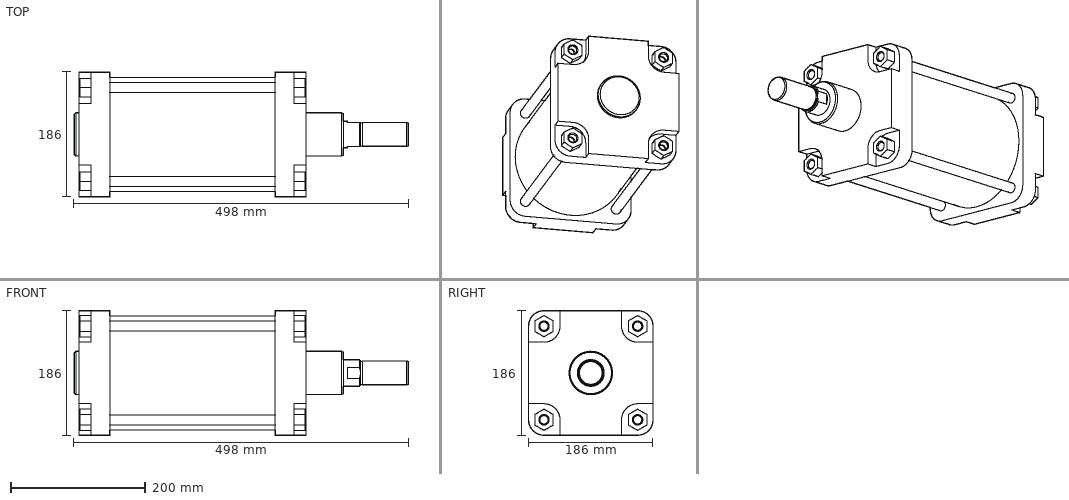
import cadquery as cq
import math


total_length = 498.0
cover_side = 186.0

cover_thickness = 46.5
rear_face_x = 7.0
barrel_length = 246.0
tie_rod_offset = 69.5
cover_corner_radius = cover_side / 2 - tie_rod_offset
pocket_depth = 18.0
pocket_inner_radius = 24.0
pocket_side = cover_corner_radius + pocket_inner_radius

boss_diameter = 64.5
rear_boss_chamfer = 2.5
front_boss_length = 55.5
front_boss_chamfer_length = 3.0
front_boss_chamfer_depth = 1.5

barrel_diameter = 170.5

tie_rod_diameter = 15.0
nut_across_flats = 27.5
nut_height = 16.5
socket_diameter = 12.5
socket_chamfer = 1.5

rod_diameter = 40.0
rod_across_flats = 36.5
rod_collar_length = 6.0
rod_shoulder_length = 25.5
rod_shoulder_chamfer = 1.5
neck_diameter = 35.0
neck_length = 3.0
shaft_diameter = 36.0
shaft_chamfer_length = 3.0
shaft_chamfer_depth = 1.0

rear_cover_inner_x = rear_face_x + cover_thickness
front_cover_inner_x = rear_cover_inner_x + barrel_length
front_face_x = front_cover_inner_x + cover_thickness
boss_end_x = front_face_x + front_boss_length
shoulder_end_x = boss_end_x + rod_shoulder_length

tie_rod_places = [(y, z) for y in (-tie_rod_offset, tie_rod_offset) for z in (-tie_rod_offset, tie_rod_offset)]


def section(x):
    """Plane across the cylinder at x, with local axes along +Y and +Z."""
    return cq.Workplane("YZ", origin=(x, 0, 0))


def turned(profile):
    """Solid turned about the X axis from (x, radius) points."""
    return cq.Workplane("XY").polyline(profile).close().revolve(360, (0, 0, 0), (1, 0, 0))


def make_cover_plate(inner_x, outer_x):
    """Square plate with a nut pocket at each outer corner and holes for the tie rods."""
    outward = math.copysign(1, outer_x - inner_x)
    plate = section(inner_x).rect(cover_side, cover_side).extrude(outward * cover_thickness)
    plate = plate.edges("|X").fillet(cover_corner_radius)

    pocket_centre = cover_side / 2 - pocket_side / 2
    for side_y in (-1, 1):
        for side_z in (-1, 1):
            pocket = (
                section(outer_x)
                .center(side_y * pocket_centre, side_z * pocket_centre)
                .rect(pocket_side, pocket_side)
                .extrude(-outward * pocket_depth)
            )
            inner_edge = cq.selectors.NearestToPointSelector((outer_x, 0, 0))
            pocket = pocket.edges("|X").edges(inner_edge).fillet(pocket_inner_radius)
            plate = plate.cut(pocket)

    rod_holes = section(inner_x).pushPoints(tie_rod_places).circle(tie_rod_diameter / 2)
    return plate.cut(rod_holes.extrude(outward * cover_thickness))


def make_rear_cover():
    plate = make_cover_plate(rear_cover_inner_x, rear_face_x)
    boss = section(0).circle(boss_diameter / 2).extrude(rear_face_x)
    boss = boss.faces("<X").chamfer(rear_boss_chamfer)
    return plate.union(boss)


def make_front_cover():
    plate = make_cover_plate(front_cover_inner_x, front_face_x)
    boss_radius = boss_diameter / 2
    boss = turned([
        (front_face_x, 0),
        (front_face_x, boss_radius),
        (boss_end_x - front_boss_chamfer_length, boss_radius),
        (boss_end_x, boss_radius - front_boss_chamfer_depth),
        (boss_end_x, 0),
    ])
    rod_bore = section(front_cover_inner_x).circle(rod_diameter / 2).extrude(boss_end_x - front_cover_inner_x)
    return plate.union(boss).cut(rod_bore)


def make_barrel():
    return section(rear_cover_inner_x).circle(barrel_diameter / 2).extrude(barrel_length)


def make_piston_rod():
    """Rod that fills the front cover's bore and ends in a stepped shaft."""
    rod_radius = rod_diameter / 2
    neck_radius = neck_diameter / 2
    shaft_radius = shaft_diameter / 2
    neck_end_x = shoulder_end_x + neck_length
    rod = turned([
        (front_cover_inner_x, 0),
        (front_cover_inner_x, rod_radius),
        (shoulder_end_x - rod_shoulder_chamfer, rod_radius),
        (shoulder_end_x, rod_radius - rod_shoulder_chamfer),
        (shoulder_end_x, neck_radius),
        (neck_end_x, neck_radius),
        (neck_end_x, shaft_radius),
        (total_length - shaft_chamfer_length, shaft_radius),
        (total_length, shaft_radius - shaft_chamfer_depth),
        (total_length, 0),
    ])

    flats_x = boss_end_x + rod_collar_length
    flats_length = shoulder_end_x - flats_x
    waste_depth = (rod_diameter - rod_across_flats) / 2
    waste_centre = rod_across_flats / 2 + waste_depth / 2
    waste = (
        section(flats_x)
        .pushPoints([(-waste_centre, 0), (waste_centre, 0)])
        .rect(waste_depth, rod_diameter)
        .extrude(flats_length)
    )
    return rod.cut(waste)


def make_tie_rod(y, z):
    """Tie rod with a hexagonal nut at each end, each nut resting on a pocket floor."""
    rear_seat_x = rear_face_x + pocket_depth
    front_seat_x = front_face_x - pocket_depth
    rod = section(rear_seat_x).center(y, z).circle(tie_rod_diameter / 2).extrude(front_seat_x - rear_seat_x)

    nut_across_corners = nut_across_flats / math.cos(math.radians(30))
    for seat_x, outward in ((rear_seat_x, -1), (front_seat_x, 1)):
        nut = (
            section(seat_x)
            .transformed(offset=(y, z, 0), rotate=(0, 0, 90))
            .polygon(6, nut_across_corners)
            .extrude(outward * nut_height)
        )
        socket = section(seat_x).center(y, z).circle(socket_diameter / 2).extrude(outward * nut_height)
        nut = nut.cut(socket)
        outer_face = ">X" if outward > 0 else "<X"
        nut = nut.faces(outer_face).edges("%CIRCLE").chamfer(socket_chamfer)
        rod = rod.union(nut)
    return rod


rear_cover = make_rear_cover()
front_cover = make_front_cover()
barrel = make_barrel()
piston_rod = make_piston_rod()
tie_rods = [make_tie_rod(y, z) for y, z in tie_rod_places]

result = cq.Compound.makeCompound([
    rear_cover.val(),
    front_cover.val(),
    barrel.val(),
    piston_rod.val(),
    *[tie_rod.val() for tie_rod in tie_rods],
])